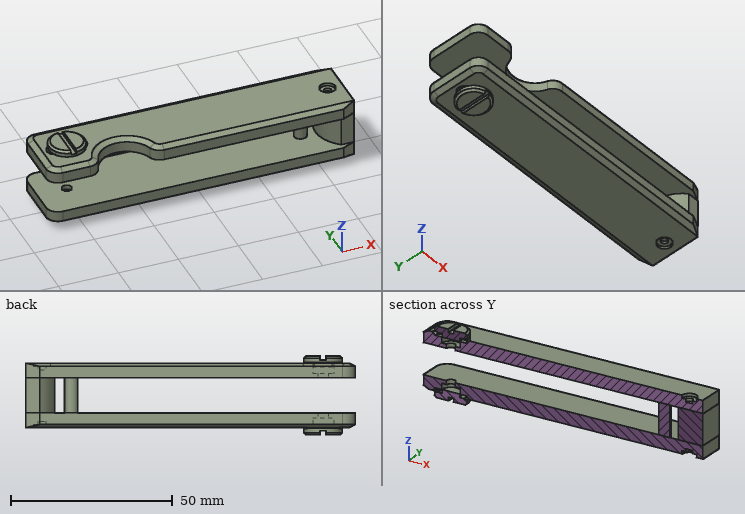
import cadquery as cq
import math

LENGTH = 102.0
WIDTH = 23.0
GAP = 10.8
PLATE_THICKNESS = 4.6
CORNER_RADIUS = 4.0
BEVEL_INSET = 2.0
BEVEL_DEPTH = 1.0
TAPER_LENGTH = 4.3

NOTCH_X = 25.5
NOTCH_RADIUS = 9.0
NOTCH_BLEND = 4.0

SCREW_X = 10.0
HEAD_DIAMETER = 12.0
HEAD_TOP_DIAMETER = 10.4
HEAD_CHAMFER_HEIGHT = 0.7
HEAD_THICKNESS = 2.0
SEAT_DIAMETER = 10.0
SEAT_THICKNESS = 0.2
SLOT_WIDTH = 1.8
SLOT_DEPTH = 1.2
SPIGOT_DIAMETER = 6.5
SPIGOT_LENGTH = 1.2
SPIGOT_POCKET_DEPTH = 3.1
SCREW_HOLE_DIAMETER = 3.2

RELIEF_OFFSET = 4.1
RELIEF_DIAMETER = 5.2
RELIEF_DEPTH = 1.0

END_HOLE_X = LENGTH - 5.0
END_HOLE_DIAMETER = 2.5
END_HOLE_DEPTH = 1.0
COUNTERBORE_DIAMETER = 5.2
COUNTERBORE_DEPTH = 1.0

PIN_X = 87.9
PIN_DIAMETER = 4.2
SPACER_NOSE_X = 92.9
SPACER_WIDTH = 19.2

half_width = WIDTH / 2
inner_z = GAP / 2
outer_z = inner_z + PLATE_THICKNESS
rim_thickness = PLATE_THICKNESS - BEVEL_DEPTH
bevel_angle = math.degrees(math.atan2(BEVEL_INSET, BEVEL_DEPTH))
taper_x = LENGTH - TAPER_LENGTH
end_half_width = half_width - BEVEL_INSET
half_spacer_width = SPACER_WIDTH / 2


def cylinder(x, y, diameter, bottom_z, height):
    """Upright cylinder standing on bottom_z."""
    return (
        cq.Workplane("XY", origin=(x, y, bottom_z))
        .circle(diameter / 2)
        .extrude(height)
    )


def cone(x, y, bottom_diameter, top_diameter, bottom_z, height):
    """Upright truncated cone standing on bottom_z."""
    base = cq.Vector(x, y, bottom_z)
    return cq.Workplane(cq.Solid.makeCone(bottom_diameter / 2, top_diameter / 2, height, pnt=base))


def cut_thumb_notch(plate):
    """Half-round notch in the -Y edge, blended into the edge on both sides."""
    notch = cylinder(NOTCH_X, -half_width, 2 * NOTCH_RADIUS, inner_z, rim_thickness)
    notch_corners = cq.selectors.BoxSelector(
        (NOTCH_X - 2 * NOTCH_RADIUS, -half_width - NOTCH_BLEND, inner_z),
        (NOTCH_X + 2 * NOTCH_RADIUS, -half_width + NOTCH_BLEND, outer_z),
    )
    return plate.cut(notch).edges("|Z").edges(notch_corners).fillet(NOTCH_BLEND)


def cut_end_tapers(plate):
    """Slanted cuts that narrow both long sides towards the square end."""
    taper = (
        cq.Workplane("XY", origin=(0, 0, inner_z))
        .moveTo(taper_x, half_width)
        .lineTo(LENGTH, half_width)
        .lineTo(LENGTH, end_half_width)
        .close()
        .extrude(PLATE_THICKNESS)
    )
    return plate.cut(taper).cut(taper.mirror("XZ"))


def cut_screw_seat(plate):
    """Stepped screw hole with a conical relief at each side of the head."""
    pocket_floor_z = outer_z - SPIGOT_POCKET_DEPTH
    plate = plate.cut(cylinder(SCREW_X, 0, SCREW_HOLE_DIAMETER, inner_z, PLATE_THICKNESS))
    plate = plate.cut(cylinder(SCREW_X, 0, SPIGOT_DIAMETER, pocket_floor_z, SPIGOT_POCKET_DEPTH))
    relief_floor_diameter = RELIEF_DIAMETER - 2 * RELIEF_DEPTH
    relief_floor_z = outer_z - RELIEF_DEPTH
    for side in (-1, 1):
        relief_x = SCREW_X + side * RELIEF_OFFSET
        relief = cone(relief_x, 0, relief_floor_diameter, RELIEF_DIAMETER, relief_floor_z, RELIEF_DEPTH)
        plate = plate.cut(relief)
    return plate


def cut_end_hole(plate):
    """Blind hole with a counterbore near the square end."""
    ledge_z = outer_z - COUNTERBORE_DEPTH
    counterbore = cylinder(END_HOLE_X, 0, COUNTERBORE_DIAMETER, ledge_z, COUNTERBORE_DEPTH)
    hole = cylinder(END_HOLE_X, 0, END_HOLE_DIAMETER, ledge_z - END_HOLE_DEPTH, END_HOLE_DEPTH)
    return plate.cut(counterbore).cut(hole)


def make_plate(notched):
    """Plate above the gap, with its bevelled face up."""
    blank_length = LENGTH + BEVEL_INSET
    plate = (
        cq.Workplane("XY", origin=(0, 0, inner_z))
        .rect(blank_length, WIDTH)
        .extrude(rim_thickness)
        .translate((blank_length / 2, 0, 0))
        .edges("|Z and <X")
        .fillet(CORNER_RADIUS)
    )
    if notched:
        plate = cut_thumb_notch(plate)
    plate = plate.faces(">Z").wires().toPending().extrude(BEVEL_DEPTH, taper=bevel_angle)
    end_trim = (
        cq.Workplane("XY", origin=(LENGTH, 0, inner_z))
        .rect(2 * BEVEL_INSET, WIDTH)
        .extrude(PLATE_THICKNESS)
        .translate((BEVEL_INSET, 0, 0))
    )
    plate = plate.cut(end_trim)
    plate = cut_end_tapers(plate)
    plate = cut_screw_seat(plate)
    return cut_end_hole(plate)


def make_screw():
    """Slotted screw in the upper plate: chamfered head, thin seat and spigot."""
    head_z = outer_z + SEAT_THICKNESS
    head_top_z = head_z + HEAD_THICKNESS
    head_side_height = HEAD_THICKNESS - HEAD_CHAMFER_HEIGHT
    chamfer_z = head_z + head_side_height
    head_side = cylinder(SCREW_X, 0, HEAD_DIAMETER, head_z, head_side_height)
    head_chamfer = cone(SCREW_X, 0, HEAD_DIAMETER, HEAD_TOP_DIAMETER, chamfer_z, HEAD_CHAMFER_HEIGHT)
    head = head_side.union(head_chamfer)
    slot = (
        cq.Workplane("XY", origin=(SCREW_X, 0, head_top_z))
        .rect(SLOT_WIDTH, HEAD_DIAMETER)
        .extrude(-SLOT_DEPTH)
    )
    seat = cylinder(SCREW_X, 0, SEAT_DIAMETER, outer_z, SEAT_THICKNESS)
    spigot = cylinder(SCREW_X, 0, SPIGOT_DIAMETER, outer_z - SPIGOT_LENGTH, SPIGOT_LENGTH)
    return head.cut(slot).union(seat).union(spigot)


def make_spacer():
    """Block at the square end with a bulged front."""
    return (
        cq.Workplane("XY", origin=(0, 0, -inner_z))
        .moveTo(LENGTH, -half_spacer_width)
        .lineTo(taper_x, -half_spacer_width)
        .threePointArc((SPACER_NOSE_X, 0), (taper_x, half_spacer_width))
        .lineTo(LENGTH, half_spacer_width)
        .close()
        .extrude(GAP)
    )


top_plate = make_plate(notched=True)
bottom_plate = make_plate(notched=False).mirror("XY")
top_screw = make_screw()
bottom_screw = make_screw().mirror("XY")
stop_pin = cylinder(PIN_X, 0, PIN_DIAMETER, -inner_z, GAP)
spacer = make_spacer()

result = cq.Compound.makeCompound([
    top_plate.val(),
    bottom_plate.val(),
    top_screw.val(),
    bottom_screw.val(),
    stop_pin.val(),
    spacer.val(),
])